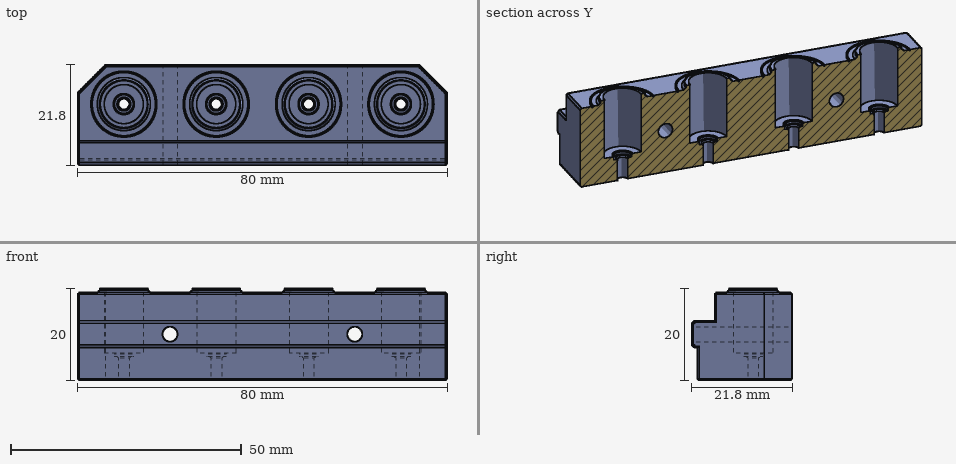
import cadquery as cq

length = 80.0
depth = 21.8
block_top = 19.0
edge_chamfer = 0.4
corner_cut = 6.0

upper_setback = 5.0
lower_setback = 1.2
rail_bottom = 7.0
rail_top = 13.0
rail_chamfer = 0.6

port_count = 4
port_pitch = length / port_count
port_y = 13.3

boss_top = 20.0
boss_base_diameter = 11.5
boss_land_diameter = 10.5
boss_rim_diameter = 10.2
cone_height = 0.5
land_height = 0.2
land_bottom = block_top + cone_height
land_top = land_bottom + land_height

groove_outer_diameter = 14.3
groove_inner_diameter = 13.7
groove_depth = 0.3

bore_diameter = 8.5
bore_floor = 6.0
seat_diameter = 4.1
seat_depth = 0.8
seat_floor = bore_floor - seat_depth
seat_chamfer = 0.2
outlet_diameter = 2.3
outlet_chamfer = 0.3

mounting_hole_diameter = 3.2
mounting_hole_spacing = length / 2
mounting_hole_z = (rail_bottom + rail_top) / 2

overlap = 0.8


def make_block():
    """Stepped bar with cut rear corners and chamfered outer edges."""
    profile = [
        (lower_setback, 0),
        (depth, 0),
        (depth, block_top),
        (upper_setback, block_top),
        (upper_setback, rail_top),
        (rail_chamfer, rail_top),
        (0, rail_top - rail_chamfer),
        (0, rail_bottom + rail_chamfer),
        (rail_chamfer, rail_bottom),
        (lower_setback, rail_bottom),
    ]
    bar = cq.Workplane("YZ").polyline(profile).close().extrude(length / 2, both=True)
    bar = bar.edges("|Z and >Y").chamfer(corner_cut)

    end_edges = bar.faces("<X or >X").edges("not >Y")
    top_and_bottom_edges = bar.faces("<Z or >Z").edges("not |Y")
    return end_edges.add(top_and_bottom_edges).chamfer(edge_chamfer)


def revolve_about_z(half_section):
    """Turn a list of (radius, z) points into a round body on the Z axis."""
    return cq.Workplane("XZ").polyline(half_section).close().revolve(360, (0, 0), (0, 1))


def make_boss():
    return revolve_about_z([
        (0, block_top - overlap),
        (boss_base_diameter / 2, block_top - overlap),
        (boss_base_diameter / 2, block_top),
        (boss_land_diameter / 2, land_bottom),
        (boss_land_diameter / 2, land_top),
        (boss_rim_diameter / 2, boss_top),
        (0, boss_top),
    ])


def make_groove_cutter():
    return revolve_about_z([
        (groove_inner_diameter / 2, block_top),
        (groove_outer_diameter / 2, block_top - groove_depth),
        (groove_outer_diameter / 2, block_top),
    ])


def make_passage_cutter():
    outlet_radius = outlet_diameter / 2
    seat_radius = seat_diameter / 2
    bore_radius = bore_diameter / 2
    return revolve_about_z([
        (0, -overlap),
        (outlet_radius, -overlap),
        (outlet_radius, seat_floor - outlet_chamfer),
        (outlet_radius + outlet_chamfer, seat_floor),
        (seat_radius, seat_floor),
        (seat_radius, bore_floor - seat_chamfer),
        (seat_radius + seat_chamfer, bore_floor),
        (bore_radius, bore_floor),
        (bore_radius, boss_top + overlap),
        (0, boss_top + overlap),
    ])


def make_mounting_holes():
    half_spacing = mounting_hole_spacing / 2
    centres = [(-half_spacing, mounting_hole_z), (half_spacing, mounting_hole_z)]
    drill = cq.Workplane("XZ", origin=(0, -overlap, 0)).pushPoints(centres)
    return drill.circle(mounting_hole_diameter / 2).extrude(-(depth + 2 * overlap))


boss = make_boss()
groove_cutter = make_groove_cutter()
passage_cutter = make_passage_cutter()

result = make_block().cut(make_mounting_holes())
for index in range(port_count):
    port_x = (index - (port_count - 1) / 2) * port_pitch
    port_position = (port_x, port_y, 0)
    result = result.union(boss.translate(port_position))
    result = result.cut(groove_cutter.translate(port_position))
    result = result.cut(passage_cutter.translate(port_position))